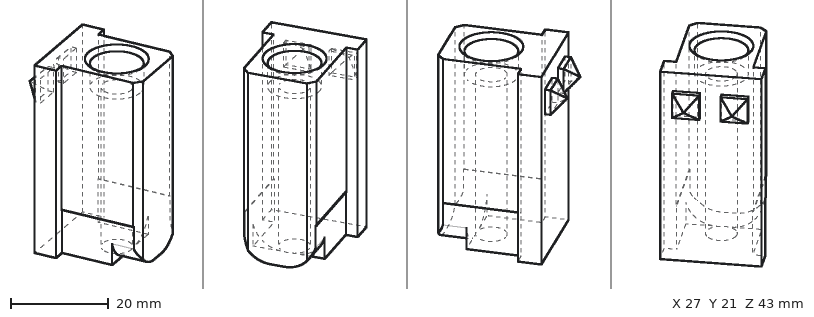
import cadquery as cq
import math

height = 43.0
plate_thickness = 5.0
plate_width = 21.0
body_end = 23.0
body_width = 16.0
corner_chamfer = 1.5

foot_height = 9.95
foot_inset = 0.15
foot_width = body_width - 2 * foot_inset
round_length = 6.4
round_radius = 6.55
round_center_offset = 1.55

hole_x = body_end - 9.5
hole_diameter = 6.5
counterbore_diameter = 11.0
counterbore_depth = 6.4
countersink_diameter = 13.07

pin_size = 5.6
pin_shank = 1.2
pin_length = 4.0
pin_spacing = 10.0
pin_z = height - 7.0


def make_body():
    """T-shaped column with two chamfered corners, its back plate at X = 0."""
    half_width = body_width / 2
    chamfer_start = body_end - corner_chamfer
    end_half_width = half_width - corner_chamfer
    plate = cq.Workplane("XY").box(plate_thickness, plate_width, height, centered=(False, True, False))
    column = (
        cq.Workplane("XY")
        .moveTo(0, -half_width)
        .lineTo(chamfer_start, -half_width)
        .lineTo(body_end, -end_half_width)
        .lineTo(body_end, end_half_width)
        .lineTo(chamfer_start, half_width)
        .lineTo(0, half_width)
        .close()
        .extrude(height)
    )
    foot_envelope = cq.Workplane("XY").box(body_end, foot_width, foot_height, centered=(False, True, False))
    upper_envelope = (
        cq.Workplane("XY", origin=(0, 0, foot_height))
        .box(body_end, body_width, height - foot_height, centered=(False, True, False))
    )
    return plate.union(column.intersect(foot_envelope.union(upper_envelope)))


def make_underside_cut():
    """Material outside two lengthwise rounds that run smoothly into the bottom face."""
    blank = (
        cq.Workplane("XY", origin=(body_end - round_length, 0, 0))
        .box(round_length, body_width, round_radius, centered=(False, True, False))
    )
    rounded_core = (
        cq.Workplane("YZ", origin=(body_end - round_length, 0, round_radius))
        .slot2D(2 * (round_center_offset + round_radius), 2 * round_radius)
        .extrude(round_length)
    )
    rise = math.sqrt(round_radius**2 - (foot_width / 2 - round_center_offset) ** 2)
    side_height = round_radius - rise
    below_meeting = cq.Workplane("XY").box(
        body_end, body_width, side_height, centered=(False, True, False)
    )
    return blank.cut(rounded_core).intersect(below_meeting)


def make_hole():
    """Through hole with a counterbore and a 45-degree countersunk mouth."""
    hole_radius = hole_diameter / 2
    counterbore_radius = counterbore_diameter / 2
    countersink_radius = countersink_diameter / 2
    countersink_depth = countersink_radius - counterbore_radius
    counterbore_floor = height - counterbore_depth
    return (
        cq.Workplane("XZ", origin=(hole_x, 0, 0))
        .lineTo(hole_radius, 0)
        .lineTo(hole_radius, counterbore_floor)
        .lineTo(counterbore_radius, counterbore_floor)
        .lineTo(counterbore_radius, height - countersink_depth)
        .lineTo(countersink_radius, height)
        .lineTo(0, height)
        .close()
        .revolve(360, (0, 0, 0), (0, 1, 0))
    )


def make_pin(y):
    """Square shank ending in a pyramid that points toward -X."""
    shank = (
        cq.Workplane("XY")
        .box(pin_shank, pin_size, pin_size)
        .translate((-pin_shank / 2, y, pin_z))
    )
    corners = [
        cq.Vector(-pin_shank, y + side_y * pin_size / 2, pin_z + side_z * pin_size / 2)
        for side_y, side_z in ((-1, -1), (1, -1), (1, 1), (-1, 1))
    ]
    tip = cq.Vector(-pin_length, y, pin_z)
    faces = [cq.Face.makeFromWires(cq.Wire.makePolygon(corners, close=True))]
    for start, end in zip(corners, corners[1:] + corners[:1]):
        faces.append(cq.Face.makeFromWires(cq.Wire.makePolygon([start, end, tip], close=True)))
    point = cq.Solid.makeSolid(cq.Shell.makeShell(faces))
    return shank.union(cq.Workplane(point))


result = make_body().cut(make_underside_cut()).cut(make_hole())
for pin_y in (-pin_spacing / 2, pin_spacing / 2):
    result = result.union(make_pin(pin_y))